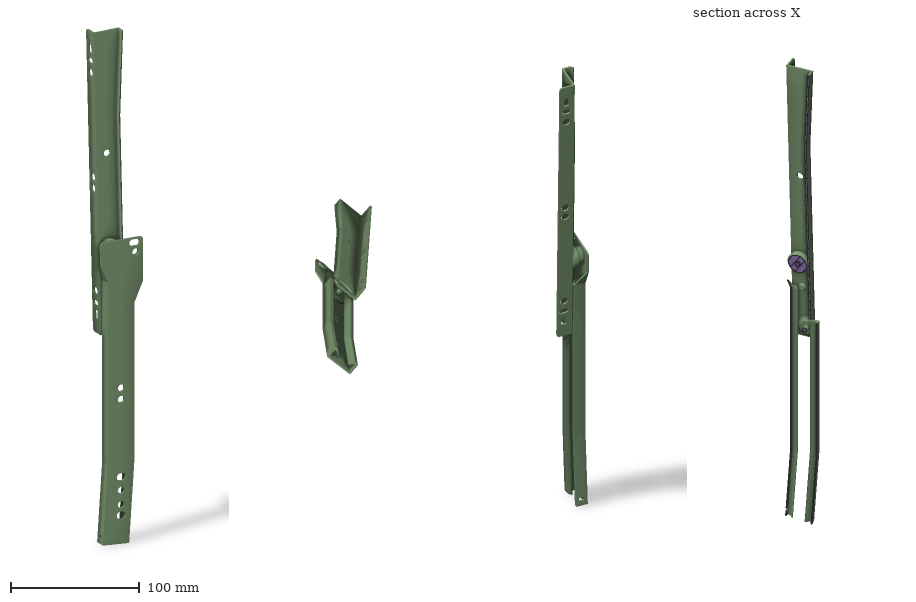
import cadquery as cq
import math


SHEET = 1.3
TOTAL_LENGTH = 421
OVER_CUT = 4.2
SHANK_RADIUS = 2.0
HEAD_RADIUS = 3.5
HEAD_THICKNESS = 1.0

DRAWER_LENGTH = 250.0
DRAWER_TILT = 1.4
FLANGE_WIDTH = 11.5
FLANGE_CORNER = 2.5
WEB_OUTER_X = FLANGE_WIDTH + SHEET
WEB_HEIGHT = 18.5
WEB_END_HEIGHT = 22.7
RUNWAY_BEND_DEPTH = 69.5
RUNWAY_LENGTH = 228.5
RUNWAY_LIP_X = 18.5
RUNWAY_LIP_DROP = 2.0
RUNWAY_LIP_ANGLE = math.radians(45)
DRAWER_TOP_Z = TOTAL_LENGTH - WEB_END_HEIGHT * math.sin(math.radians(DRAWER_TILT))

FLANGE_HOLE_X = 6.0
FLANGE_HOLE_DIAMETER = 6.5
FLANGE_SLOT_LENGTH = 7.5
FLANGE_SLOT_WIDTH = 4.2
RECTANGLE_FROM_END = 15.0
SLOT_FROM_END = 25.0
HOLE_FROM_END = 35.0
MIDDLE_HOLE_DEPTHS = (121.5, 130.5)

WEB_HOLE_Y = 9.3
WEB_HOLE_DEPTH = 101
WEB_HOLE_DIAMETER = 5.5
DIMPLE_DEPTH = 204.3
DIMPLE_RADIUS = 3.5
DIMPLE_FLOOR_RADIUS = 2.0
DIMPLE_OFFSET = 1.5

DISH_Y = 12.5
DISH_DEPTH = 240
DISH_RADIUS = 9.0
DISH_FLOOR_RADIUS = 6.0
DISH_OFFSET = 2.0

RAIL_BACK_X = 24.5
PLATE_FACE_X = RAIL_BACK_X - SHEET
RAIL_LOW_Y = 6.5
RAIL_HIGH_Y = 29.5
RAIL_FRONT_X = 14.7
LIP_FLAT = 3.0
LIP_RUN = 3.5
LIP_SINK = 3.0
BEND_Z = 66.0
BEND_ANGLE = 3.9
LOWER_CORNER = 1.5
HIGH_WALL_TOP = 190.5

PLATE_WIDTH = 37.0
PLATE_TOP = 251.0
PLATE_LOW_SHOULDER = 231.5
PLATE_LOW_TAPER_END = 217.5
PLATE_HIGH_SHOULDER = 214.0
PLATE_HIGH_TAPER_END = 197.0
PLATE_CORNER = 2.5

PLATE_SLOT_YZ = (29.5, 247.0)
PLATE_SLOT_LENGTH = 9.0
PLATE_SLOT_WIDTH = 5.5
COLLAR_YZ = (30.7, 239.0)
COLLAR_RADIUS = 4.5
COLLAR_HOLE_RADIUS = 3.0
COLLAR_HEIGHT = 2.0
RIB_LOW_Y = 23.0
RIB_HIGH_Y = 26.0
RIB_HEIGHT = 1.5
RIB_TOP = 235.0

RAIL_HOLE_Y = (RAIL_LOW_Y + RAIL_HIGH_Y) / 2
RAIL_HOLE_DIAMETER = 5.5
RAIL_HOLE_HEIGHTS = (129.0, 119.5, 44.5, 33.0)
RAIL_SLOT_HEIGHTS = (55.5, 24.0)
RAIL_SLOT_LENGTH = 7.5
RAIL_SLOT_WIDTH = 6.0

NOTCH_X = 19.5
NOTCH_LENGTH = 4.2
NOTCH_HEIGHT = 2.5
NOTCH_Z = 7.5

ROLLER_CHAMFER = 1.3
CABINET_ROLLER_RADIUS = 9.0
CABINET_ROLLER_Y = 12.42
CABINET_ROLLER_Z = 241.5
CABINET_ROLLER_X = (13.0, 19.0)
BOSS_RADIUS = 6.7
DRAWER_ROLLER_RADIUS = 9.5
DRAWER_ROLLER_X = (19.5, 22.7)


def box(x, y, z):
    """Box between the two limits given on each axis."""
    size = [high - low for low, high in (x, y, z)]
    return cq.Workplane("XY").box(*size, centered=False).translate((x[0], y[0], z[0]))


def cylinder(radius, x, y, z):
    """Cylinder along X between the two limits in x."""
    return cq.Workplane("YZ", origin=(x[0], y, z)).circle(radius).extrude(x[1] - x[0])


def turned(points, y, z):
    """Solid of revolution about an axis along X, from (x, radius) points."""
    return cq.Workplane("XY").polyline(points).close().revolve(360, (0, 0), (1, 0)).translate((0, y, z))


def slot_along_x(length, width, x, y, z):
    """Round-ended cutter along X; the slot lies along Y."""
    return cq.Workplane("YZ", origin=(x[0], y, z)).slot2D(length, width).extrude(x[1] - x[0])


def roller(radius, x, y, z):
    """Chamfered roller with a bore for the rivet shank and a seat for the rivet head."""
    start, end = x
    rim = radius - ROLLER_CHAMFER
    seat = start + HEAD_THICKNESS
    points = [
        (start, HEAD_RADIUS),
        (start, rim),
        (start + ROLLER_CHAMFER, radius),
        (end - ROLLER_CHAMFER, radius),
        (end, rim),
        (end, SHANK_RADIUS),
        (seat, SHANK_RADIUS),
        (seat, HEAD_RADIUS),
    ]
    return turned(points, y, z)


def rivet(x, y, z, head_x):
    """Plain shank between the limits in x, with a wider head that starts at head_x."""
    shank = cylinder(SHANK_RADIUS, x, y, z)
    head = cylinder(HEAD_RADIUS, (head_x, head_x + HEAD_THICKNESS), y, z)
    return shank.union(head)


def place_on_drawer(body):
    """Tilt a body of the drawer side and lift it to its height."""
    tilted = body.rotate((0, 0, 0), (1, 0, 0), DRAWER_TILT)
    return tilted.translate((0, 0, DRAWER_TOP_Z))


def drawer_flange():
    """Support flange with its row of holes and slots."""
    flange = box((0, WEB_OUTER_X), (0, SHEET), (-DRAWER_LENGTH, 0))
    flange = flange.edges("|Y and <X").fillet(FLANGE_CORNER)

    def cutter(sketch):
        return sketch.extrude(-(SHEET + 2 * OVER_CUT))

    def at(depth):
        return cq.Workplane("XZ", origin=(FLANGE_HOLE_X, -OVER_CUT, -depth))

    for from_end in (RECTANGLE_FROM_END, DRAWER_LENGTH - RECTANGLE_FROM_END):
        flange = flange.cut(cutter(at(from_end).rect(FLANGE_SLOT_WIDTH, FLANGE_SLOT_LENGTH)))
    for from_end in (SLOT_FROM_END, DRAWER_LENGTH - SLOT_FROM_END):
        flange = flange.cut(cutter(at(from_end).slot2D(FLANGE_SLOT_LENGTH, FLANGE_SLOT_WIDTH)))
    for depth in (HOLE_FROM_END, *MIDDLE_HOLE_DEPTHS, DRAWER_LENGTH - HOLE_FROM_END):
        flange = flange.cut(cutter(at(depth).circle(FLANGE_HOLE_DIAMETER / 2)))
    return flange


def drawer_web():
    """Upright web, taller at its upper end, with a round lobe around the dish."""
    outline = [
        (0, 0),
        (WEB_END_HEIGHT, 0),
        (WEB_HEIGHT, -RUNWAY_BEND_DEPTH),
        (WEB_HEIGHT, -DRAWER_LENGTH),
        (0, -DRAWER_LENGTH),
    ]
    web = cq.Workplane("YZ", origin=(FLANGE_WIDTH, 0, 0)).polyline(outline).close().extrude(SHEET)
    through = (FLANGE_WIDTH - OVER_CUT, WEB_OUTER_X + OVER_CUT)
    web = web.union(cylinder(DISH_RADIUS, (FLANGE_WIDTH, WEB_OUTER_X), DISH_Y, -DISH_DEPTH))
    web = web.cut(cylinder(WEB_HOLE_DIAMETER / 2, through, WEB_HOLE_Y, -WEB_HOLE_DEPTH))
    return web


def drawer_runway():
    """Top flange under which the cabinet roller runs; it rises towards the upper end of the rail."""
    bend_x = RUNWAY_LIP_X - SHEET * math.tan(RUNWAY_LIP_ANGLE / 2)
    lip_reach = RUNWAY_LIP_DROP / math.tan(RUNWAY_LIP_ANGLE)
    lip_end = (RUNWAY_LIP_X + lip_reach, WEB_END_HEIGHT - RUNWAY_LIP_DROP)
    section = [
        (FLANGE_WIDTH, WEB_END_HEIGHT),
        (RUNWAY_LIP_X, WEB_END_HEIGHT),
        lip_end,
        (
            lip_end[0] - SHEET * math.sin(RUNWAY_LIP_ANGLE),
            lip_end[1] - SHEET * math.cos(RUNWAY_LIP_ANGLE),
        ),
        (bend_x, WEB_END_HEIGHT - SHEET),
        (FLANGE_WIDTH, WEB_END_HEIGHT - SHEET),
    ]
    path = cq.Workplane("YZ").polyline(
        [(WEB_END_HEIGHT, 0), (WEB_HEIGHT, -RUNWAY_BEND_DEPTH), (WEB_HEIGHT, -RUNWAY_LENGTH)]
    )
    return cq.Workplane("XY").polyline(section).close().sweep(path, transition="right")


def press_out(rail, y, depth, radius, floor_radius, offset):
    """Press a tapered round recess into the web, pushing the sheet out towards the cabinet."""
    floor_x = FLANGE_WIDTH + offset
    bulge = [
        (FLANGE_WIDTH, 0),
        (FLANGE_WIDTH, radius),
        (WEB_OUTER_X, radius),
        (floor_x + SHEET, floor_radius),
        (floor_x + SHEET, 0),
    ]
    hollow = [
        (FLANGE_WIDTH, 0),
        (FLANGE_WIDTH, radius - SHEET),
        (floor_x, floor_radius - SHEET),
        (floor_x, 0),
    ]
    return rail.union(turned(bulge, y, -depth)).cut(turned(hollow, y, -depth))


def drawer_dish(rail):
    """Dish that seats the drawer roller, pierced for the rivet."""
    rail = press_out(rail, DISH_Y, DISH_DEPTH, DISH_RADIUS, DISH_FLOOR_RADIUS, DISH_OFFSET)
    bore = (FLANGE_WIDTH, FLANGE_WIDTH + DISH_OFFSET + SHEET)
    return rail.cut(cylinder(SHANK_RADIUS, bore, DISH_Y, -DISH_DEPTH))


def drawer_dimple(rail):
    """Small closed dimple in line with the web hole."""
    return press_out(
        rail, WEB_HOLE_Y, DIMPLE_DEPTH, DIMPLE_RADIUS, DIMPLE_FLOOR_RADIUS, DIMPLE_OFFSET
    )


def make_drawer_rail():
    rail = drawer_web().union(drawer_flange()).union(drawer_runway())
    return place_on_drawer(drawer_dimple(drawer_dish(rail)))


def make_drawer_roller():
    return place_on_drawer(roller(DRAWER_ROLLER_RADIUS, DRAWER_ROLLER_X, DISH_Y, -DISH_DEPTH))


def make_drawer_rivet():
    """Shank from the dish, through the roller; its head sits in the roller face."""
    limits = (FLANGE_WIDTH + DISH_OFFSET - HEAD_THICKNESS, DRAWER_ROLLER_X[1])
    return place_on_drawer(rivet(limits, DISH_Y, -DISH_DEPTH, DRAWER_ROLLER_X[0]))


def bent_strip(section, top):
    """Sweep an (x, y) section down the rail, round the bend near its lower end."""
    lower_y = RAIL_HIGH_Y - BEND_Z * math.tan(math.radians(BEND_ANGLE))
    path = cq.Workplane("YZ").polyline([(RAIL_HIGH_Y, top), (RAIL_HIGH_Y, BEND_Z), (lower_y, 0)])
    return cq.Workplane("XY", origin=(0, 0, top)).polyline(section).close().sweep(path, transition="right")


def wall_section(wall_y, inward):
    """Side wall with a lip that turns in and sinks; inward is +1 or -1 along Y."""
    lip_y = wall_y + inward * LIP_FLAT
    lip_end_y = lip_y + inward * LIP_RUN
    inner_y = wall_y + inward * SHEET
    return [
        (RAIL_BACK_X, wall_y),
        (RAIL_FRONT_X, wall_y),
        (RAIL_FRONT_X, lip_y),
        (RAIL_FRONT_X + LIP_SINK, lip_end_y),
        (RAIL_FRONT_X + LIP_SINK + SHEET, lip_end_y),
        (RAIL_FRONT_X + SHEET, lip_y),
        (RAIL_FRONT_X + SHEET, inner_y),
        (RAIL_BACK_X, inner_y),
    ]


def cabinet_low_wall():
    """Wall on the -Y side; at its upper end it follows the taper of the plate and dies out."""
    wall = bent_strip(wall_section(RAIL_LOW_Y, 1), PLATE_LOW_TAPER_END)
    flare = [
        (RAIL_LOW_Y, PLATE_LOW_TAPER_END),
        (0, PLATE_LOW_SHOULDER),
        (SHEET, PLATE_LOW_SHOULDER),
        (RAIL_LOW_Y + SHEET, PLATE_LOW_TAPER_END),
    ]
    slant = [
        (RAIL_FRONT_X, PLATE_LOW_TAPER_END),
        (PLATE_FACE_X, PLATE_LOW_SHOULDER),
        (RAIL_FRONT_X, PLATE_LOW_SHOULDER),
    ]
    depth = RAIL_BACK_X - RAIL_FRONT_X
    gusset = cq.Workplane("YZ", origin=(RAIL_FRONT_X, 0, 0)).polyline(flare).close().extrude(depth)
    gusset = gusset.cut(cq.Workplane("XZ").polyline(slant).close().extrude(-PLATE_WIDTH))
    return wall.union(gusset)


def cabinet_plate():
    """Wide mounting plate at the upper end, tapering down to the width of the rail."""
    outline = [
        (0, PLATE_TOP),
        (PLATE_WIDTH, PLATE_TOP),
        (PLATE_WIDTH, PLATE_HIGH_SHOULDER),
        (RAIL_HIGH_Y, PLATE_HIGH_TAPER_END),
        (RAIL_HIGH_Y, HIGH_WALL_TOP),
        (RAIL_LOW_Y, HIGH_WALL_TOP),
        (RAIL_LOW_Y, PLATE_LOW_TAPER_END),
        (0, PLATE_LOW_SHOULDER),
    ]
    plate = cq.Workplane("YZ", origin=(PLATE_FACE_X, 0, 0)).polyline(outline).close().extrude(SHEET)
    plate = plate.edges("|X and >Z").fillet(PLATE_CORNER)

    rib = [
        (PLATE_FACE_X, RIB_HIGH_Y),
        (PLATE_FACE_X - RIB_HEIGHT, RIB_LOW_Y),
        (PLATE_FACE_X, RIB_LOW_Y),
    ]
    rib_length = RIB_TOP - HIGH_WALL_TOP
    plate = plate.union(
        cq.Workplane("XY", origin=(0, 0, HIGH_WALL_TOP)).polyline(rib).close().extrude(rib_length)
    )

    through = (PLATE_FACE_X - OVER_CUT, RAIL_BACK_X + OVER_CUT)
    collar = cylinder(COLLAR_RADIUS, (PLATE_FACE_X - COLLAR_HEIGHT, PLATE_FACE_X), *COLLAR_YZ)
    plate = plate.union(collar).cut(cylinder(COLLAR_HOLE_RADIUS, through, *COLLAR_YZ))
    return plate.cut(slot_along_x(PLATE_SLOT_LENGTH, PLATE_SLOT_WIDTH, through, *PLATE_SLOT_YZ))


def cabinet_boss(rail):
    """Boss that carries the cabinet roller, bored for its rivet."""
    place = (CABINET_ROLLER_Y, CABINET_ROLLER_Z)
    boss = cylinder(BOSS_RADIUS, (CABINET_ROLLER_X[1], PLATE_FACE_X), *place)
    bore = cylinder(SHANK_RADIUS, (CABINET_ROLLER_X[1], RAIL_BACK_X), *place)
    return rail.union(boss).cut(bore)


def cabinet_holes(rail):
    """Screw holes and slots in the floor of the channel."""
    through = (PLATE_FACE_X - OVER_CUT, RAIL_BACK_X + OVER_CUT)
    for z in RAIL_HOLE_HEIGHTS:
        rail = rail.cut(cylinder(RAIL_HOLE_DIAMETER / 2, through, RAIL_HOLE_Y, z))
    for z in RAIL_SLOT_HEIGHTS:
        rail = rail.cut(slot_along_x(RAIL_SLOT_LENGTH, RAIL_SLOT_WIDTH, through, RAIL_HOLE_Y, z))
    return rail


def cabinet_notch(rail):
    """Small window through the -Y wall near its lower end."""
    half_length = NOTCH_LENGTH / 2
    half_height = NOTCH_HEIGHT / 2
    window = box(
        (NOTCH_X - half_length, NOTCH_X + half_length),
        (0, RAIL_LOW_Y),
        (NOTCH_Z - half_height, NOTCH_Z + half_height),
    )
    return rail.cut(window)


def cabinet_lower_corner(rail):
    """Bevel the front corner across the lower end of the rail."""
    bevel = [
        (RAIL_FRONT_X, 0),
        (RAIL_FRONT_X + LOWER_CORNER, 0),
        (RAIL_FRONT_X, LOWER_CORNER),
    ]
    return rail.cut(cq.Workplane("XZ").polyline(bevel).close().extrude(-PLATE_WIDTH))


def make_cabinet_rail():
    floor = [
        (PLATE_FACE_X, RAIL_LOW_Y),
        (RAIL_BACK_X, RAIL_LOW_Y),
        (RAIL_BACK_X, RAIL_HIGH_Y),
        (PLATE_FACE_X, RAIL_HIGH_Y),
    ]
    rail = bent_strip(floor, HIGH_WALL_TOP)
    rail = rail.union(bent_strip(wall_section(RAIL_HIGH_Y, -1), HIGH_WALL_TOP))
    rail = rail.union(cabinet_low_wall()).union(cabinet_plate())
    rail = cabinet_holes(cabinet_boss(rail))
    return cabinet_lower_corner(cabinet_notch(rail))


def make_cabinet_roller():
    return roller(CABINET_ROLLER_RADIUS, CABINET_ROLLER_X, CABINET_ROLLER_Y, CABINET_ROLLER_Z)


def make_cabinet_rivet():
    """Shank through the roller, the boss and the plate; its head sits flush in the roller face."""
    limits = (CABINET_ROLLER_X[0], RAIL_BACK_X)
    return rivet(limits, CABINET_ROLLER_Y, CABINET_ROLLER_Z, CABINET_ROLLER_X[0])


drawer_rail = make_drawer_rail()
drawer_roller = make_drawer_roller()
drawer_rivet = make_drawer_rivet()
cabinet_rail = make_cabinet_rail()
cabinet_roller = make_cabinet_roller()
cabinet_rivet = make_cabinet_rivet()

bodies = [drawer_rail, drawer_roller, drawer_rivet, cabinet_rail, cabinet_roller, cabinet_rivet]
result = cq.Compound.makeCompound([body.solids().val() for body in bodies])